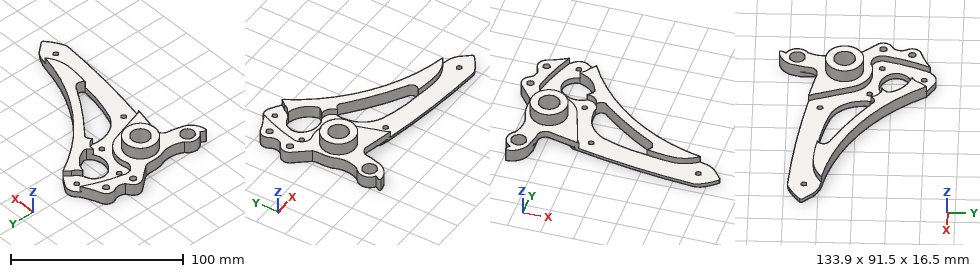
import cadquery as cq
import math


plate_thickness = 8.25
floor_thickness = plate_thickness / 2
boss_top = 2 * plate_thickness

hub_bore = 12.4
boss_diameter = 22.1
pivot_center = (-9.9, -27.7)
pivot_bore = 9.0

mount_centers = [(-18.1, 21.9), (-13.5, 38.8)]
mount_hole = 4.1
top_screw = (3.7, 46.2)
plate_screw = (-5.8, 21.7)
middle_screw = (16.8, 15.0)
arm_screw = (29.6, -13.4)
tip_screw = (96.9, -20.8)
screw_hole = 3.2

top_lobe_radius = 7.0
mount_lobe_radius = 5.5
hub_shoulder_radius = 16.2
plate_screw_clearance = 6.5
arm_screw_clearance = 8.0
top_screw_clearance = 7.3
middle_screw_clearance = 7.0

chamfer_angle = 45
arm_chamfer = 2.1
tip_chamfer = 1.65

relief_height = 3.7
relief_radius = 6.5
relief_center = (4.6, -12.2)
relief_bottom_y = -26.5
relief_end = (22.1, -20.0)


def on_circle(center, radius, degrees):
    """Point on a circle, with the angle counted from +X."""
    angle = math.radians(degrees)
    return (center[0] + radius * math.cos(angle), center[1] + radius * math.sin(angle))


def profile(start, steps):
    """Closed outline: a step of one point is a line, a step of two points is an arc (middle, end)."""
    wire = cq.Workplane("XY").moveTo(*start)
    for step in steps:
        if len(step) == 1:
            wire = wire.lineTo(*step[0])
        else:
            wire = wire.threePointArc(*step)
    return wire.close()


def drilled(centers, diameter):
    """Through-hole cutters at the given centres."""
    return cq.Workplane("XY").pushPoints(centers).circle(diameter / 2).extrude(boss_top)


plate_notch = (-2.9, 49.6)
rib_top = (14.0, 47.8)
rib_end = (95.0, -10.7)
tip_shoulder = (99.5, -11.8)
arm_corner = (24.2, -20.25)
arm_root = (5.8, -16.1)

tip_lower_end = (99.4, -29.8)
tip_steps = [
    [(102.3, -13.2), (104.8, -15.0)],
    [(109.7, -20.8)],
    [(110.24, -21.7), (110.1, -22.8)],
    [(104.8, -26.9), tip_lower_end],
]

arm_steps = [
    [(98.0, -30.2), (96.6, -30.3)],
    [(51.2, -25.2), arm_root],
]


def outline():
    """Outer edge of the whole part, clockwise from the notch beside the top lobe."""
    lower_mount, upper_mount = mount_centers
    return profile(
        plate_notch,
        [
            [on_circle(top_screw, top_lobe_radius, 127)],
            [on_circle(top_screw, top_lobe_radius, 92), on_circle(top_screw, top_lobe_radius, 58)],
            [rib_top],
            [(42.3, 14.2), rib_end],
            [(97.4, -11.4), tip_shoulder],
            *tip_steps,
            *arm_steps,
            [(4.1, -15.8), (2.5, -16.1)],
            [(0.5, -17.4), (-0.8, -19.6)],
            [(-1.2, -22.8)],
            [(-3.3, -30.9)],
            [(-7.4, -36.1), (-14.3, -38.29)],
            [(-14.8, -37.7), (-14.7, -36.7)],
            [(-13.3, -34.3)],
            [(-17.2, -28.0), (-14.0, -21.7)],
            [(-11.5, -13.6), (-13.3, -4.3)],
            [(-13.9, -0.6), (-14.0, 3.1)],
            [(-14.0, 6.0), (-14.5, 8.8)],
            [on_circle(lower_mount, mount_lobe_radius, 220)],
            [on_circle(lower_mount, mount_lobe_radius, 180), on_circle(lower_mount, mount_lobe_radius, 122)],
            [(-18.5, 28.3)],
            [(-17.2, 32.0), (-18.3, 36.1)],
            [on_circle(upper_mount, mount_lobe_radius, 165), on_circle(upper_mount, mount_lobe_radius, 113)],
            [(-9.3, 46.3), plate_notch],
        ],
    )


def hub_area():
    """Thick area that carries the hub, the leg and the mounting lobes."""
    origin = (0, 0)
    return profile(
        plate_notch,
        [
            [(-8.2, 36.9), on_circle(plate_screw, plate_screw_clearance, 170)],
            [
                on_circle(plate_screw, plate_screw_clearance, 220),
                on_circle(plate_screw, plate_screw_clearance, 270),
            ],
            [on_circle(origin, hub_shoulder_radius, 98)],
            [on_circle(origin, hub_shoulder_radius, 60), on_circle(origin, hub_shoulder_radius, 22)],
            [on_circle(arm_screw, arm_screw_clearance, 185)],
            [on_circle(arm_screw, arm_screw_clearance, 205), arm_corner],
            [(24.0, -45.0)],
            [(-30.0, -45.0)],
            [(-30.0, 60.0)],
            [(-2.9, 60.0)],
        ],
    )


def rib_area():
    """Thick area of the long curved rib above the windows."""
    return profile(
        rib_top,
        [
            [on_circle(top_screw, top_screw_clearance, -18)],
            [on_circle(top_screw, top_screw_clearance, -42), on_circle(top_screw, top_screw_clearance, -68)],
            [(12.0, 30.0)],
            [on_circle(middle_screw, middle_screw_clearance, 95)],
            [
                on_circle(middle_screw, middle_screw_clearance, 50),
                on_circle(middle_screw, middle_screw_clearance, 8),
            ],
            [(24.2, 15.8)],
            [(40.0, 0.0)],
            [(63.7, -14.0)],
            [(72.0, -15.3), (80.5, -15.9)],
            [(88.6, -14.3), rib_end],
            [(110.0, 60.0)],
        ],
    )


def small_window():
    """Egg-shaped window near the top lobe."""
    return profile(
        (6.6, 38.8),
        [
            [(14.0, 35.1), (19.2, 27.3)],
            [(19.4, 26.1), (19.1, 24.9)],
            [(16.9, 22.5)],
            [(6.6, 20.7), (-0.7, 26.1)],
            [(-1.7, 29.4), (-1.3, 32.7)],
            [(1.7, 37.0), (6.6, 38.8)],
        ],
    )


def large_window():
    """Long window between the rib and the arm."""
    return profile(
        (23.4, 15.4),
        [
            [(24.8, 17.0)],
            [(27.2, 18.0), (30.1, 16.4)],
            [(45.7, 4.4), (63.7, -6.9)],
            [(65.7, -9.5), (63.7, -13.9)],
            [(49.3, -11.6), (34.9, -7.2)],
            [(26.3, 0.6), (23.2, 11.0)],
            [(23.1, 13.2), (23.4, 15.4)],
        ],
    )


def corner_relief():
    """Recess in the underside where the arm meets the leg."""
    left_x = relief_center[0] - relief_radius
    return profile(
        (left_x, relief_bottom_y),
        [
            [(left_x, relief_center[1])],
            [on_circle(relief_center, relief_radius, 120), on_circle(relief_center, relief_radius, 45)],
            [relief_end],
            [(relief_end[0], relief_bottom_y)],
        ],
    ).extrude(relief_height)


def chamfer_envelope(start, edge_steps, far_corners, size):
    """Volume that slopes in under the given edge, with its other sides clear of the part."""
    steps = edge_steps + [[corner] for corner in far_corners]
    sloped = profile(start, steps).extrude(-size, taper=chamfer_angle)
    straight = profile(start, steps).extrude(floor_thickness)
    return sloped.union(straight).translate((0, 0, size))


def base_plate():
    """Full outline at floor height, chamfered under the tip and the lower edge of the arm."""
    west, east, south, north = -60.0, 150.0, -80.0, 100.0
    below_root = (4.0, south)
    arm_envelope = chamfer_envelope(
        tip_lower_end,
        arm_steps,
        [below_root, (west, south), (west, north), (east, north), (east, -38.0)],
        arm_chamfer,
    )
    tip_envelope = chamfer_envelope(
        tip_shoulder,
        tip_steps,
        [(90.0, -34.0), (90.0, south), (west, south), (west, north), (east, north)],
        tip_chamfer,
    )
    return outline().extrude(floor_thickness).intersect(arm_envelope).intersect(tip_envelope)


def raised_areas():
    """Upper half of the plate: the hub area and the rib."""
    full = outline().extrude(plate_thickness)
    raised = hub_area().extrude(plate_thickness).union(rib_area().extrude(plate_thickness))
    upper_half = cq.Workplane("XY").workplane(offset=floor_thickness).rect(400, 400).extrude(plate_thickness)
    return full.intersect(raised).intersect(upper_half)


boss = (
    cq.Workplane("XY")
    .workplane(offset=floor_thickness)
    .circle(boss_diameter / 2)
    .extrude(boss_top - floor_thickness)
)
screws = [top_screw, plate_screw, middle_screw, arm_screw, tip_screw]

result = (
    base_plate()
    .union(raised_areas())
    .cut(corner_relief())
    .union(boss)
    .cut(small_window().extrude(boss_top))
    .cut(large_window().extrude(boss_top))
    .cut(drilled([(0, 0)], hub_bore))
    .cut(drilled([pivot_center], pivot_bore))
    .cut(drilled(mount_centers, mount_hole))
    .cut(drilled(screws, screw_hole))
)